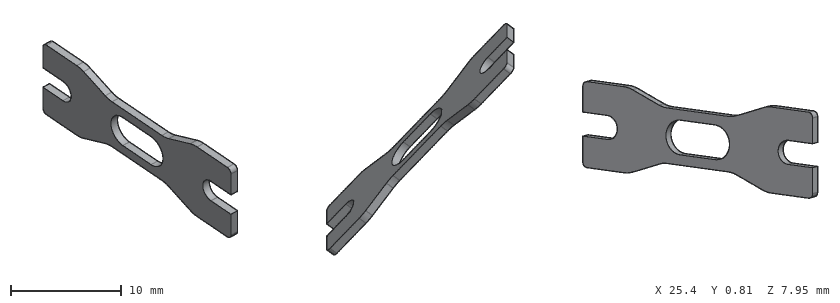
import cadquery as cq

length = 25.4
thickness = 0.81
height = 7.95
corner_radius = 0.48

waist_height = 5.13
waist_half_length = 3.84
shoulder_half_length = 7.65
bend_radius = 2.65

window_length = 7.0
window_height = 3.2
notch_depth = 3.8
notch_width = 2.2


def plate_blank():
    """Waisted plate, centred on the origin, with rounded bends and corners."""
    upper_edge = [
        (-length / 2, height / 2),
        (-shoulder_half_length, height / 2),
        (-waist_half_length, waist_height / 2),
        (waist_half_length, waist_height / 2),
        (shoulder_half_length, height / 2),
        (length / 2, height / 2),
    ]
    lower_edge = [(x, -z) for x, z in reversed(upper_edge)]
    blank = (
        cq.Workplane("XZ")
        .polyline(upper_edge + lower_edge)
        .close()
        .extrude(thickness / 2, both=True)
    )
    box_half_length = (shoulder_half_length + length / 2) / 2
    bend_region = cq.selectors.BoxSelector(
        (-box_half_length, -thickness, -height),
        (box_half_length, thickness, height),
    )
    bent = blank.edges("|Y").edges(bend_region).fillet(bend_radius)
    return bent.edges("|Y and (<X or >X)").fillet(corner_radius)


def slot_cutter(center_x, slot_length, slot_height):
    """Round-ended slot through the full thickness."""
    return (
        cq.Workplane("XZ")
        .center(center_x, 0)
        .slot2D(slot_length, slot_height)
        .extrude(thickness, both=True)
    )


result = plate_blank()
result = result.cut(slot_cutter(0, window_length, window_height))

for side in (-1, 1):
    result = result.cut(slot_cutter(side * length / 2, 2 * notch_depth, notch_width))